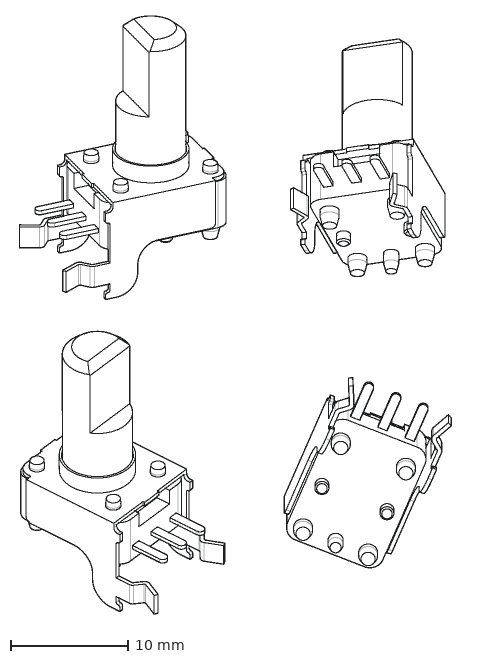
import cadquery as cq
import math


sheet = 0.38
bracket_width = 9.8
half_width = bracket_width / 2
plate_front = -5.82
plate_shoulder = 3.83
plate_back = 5.3
plate_back_width = 8.6
plate_corner_radius = 1.19
plate_tab_width = 1.97
plate_tab_length = 0.18

wall_bottom = -4.5
wall_bottom_radius = 0.47
leg_back = -3.47
leg_front = -6.1
leg_bottom = -9.18
leg_radius = 2.0
lug_front = -6.5
lug_blend_radius = (leg_front - lug_front) / 2
notch_radius = 0.43
upper_lug_top = -0.9
upper_lug_bottom = -1.88
foot_top = -8.55

clip_top = -5.75
clip_height = 2.02
clip_bend_y = -7.75
clip_elbow = (-3.99, -8.53)
clip_tip = (-4.75, -10.15)
clip_outer_radius = 0.45
clip_inner_radius = 0.13

body_width = 8.8
body_back = plate_back + plate_tab_length
body_front = -6.27
body_top = -sheet
body_bottom = -4.85
body_corner_radius = 1.2
recess_width = 4.08
recess_bottom = -1.84
recess_depth = 1.4

bushing_diameter = 6.52
bushing_bore = 6.12
bushing_height = 1.61
shaft_diameter = 6.0
shaft_top = 22.4 + leg_bottom
flat_y = -1.4
flat_bottom = 6.2
tip_chamfer_height = 0.75
tip_chamfer_inset = 0.8

peg_x = 3.0
peg_y = 4.2
peg_corners = [(sx * peg_x, sy * peg_y) for sx in (-1, 1) for sy in (-1, 1)]
terminal_pitch = 2.5
terminal_width = 0.85
terminal_top = -3.34
terminal_tip = -9.68


def block(x_size, y_min, y_max, z_min, z_max):
    """Box centred on X = 0."""
    return (
        cq.Workplane("XY")
        .box(x_size, y_max - y_min, z_max - z_min, centered=(True, False, False))
        .translate((0, y_min, z_min))
    )


def stepped_pin(diameter, end_diameter, start_z, step_z, end_z):
    """Pin on the Z axis: a cylinder up to step_z, then a taper down to end_diameter."""
    profile = [
        (0, start_z),
        (diameter / 2, start_z),
        (diameter / 2, step_z),
        (end_diameter / 2, end_z),
        (0, end_z),
    ]
    return cq.Workplane("XZ").polyline(profile).close().revolve(360, (0, 0), (0, 1))


def place(pin, positions):
    """List of copies of a pin at the given XY positions."""
    return [pin.translate((x, y, 0)) for x, y in positions]


def make_plate():
    plate = block(bracket_width, plate_front, plate_shoulder, -sheet, 0)
    back = block(plate_back_width, 0, plate_back, -sheet, 0)
    back = back.edges("|Z and >Y").fillet(plate_corner_radius)
    tabs = block(plate_tab_width, plate_front - plate_tab_length, body_back, -sheet, 0)
    return plate.union(back).union(tabs)


def make_left_wall():
    """Side wall outline in the YZ plane, with the leg, the locating lugs and the foot."""
    blend = lug_blend_radius
    mid_y = leg_front - blend
    diagonal = math.sqrt(0.5)
    leg_bend = leg_radius * (1 - diagonal)
    notch_y = plate_front - notch_radius
    notch_z = upper_lug_top + notch_radius
    outline = (
        cq.Workplane("YZ")
        .moveTo(plate_shoulder, 0)
        .lineTo(plate_shoulder, wall_bottom + wall_bottom_radius)
        .radiusArc((plate_shoulder - wall_bottom_radius, wall_bottom), wall_bottom_radius)
        .lineTo(leg_back + leg_radius, wall_bottom)
        .threePointArc(
            (leg_back + leg_bend, wall_bottom - leg_bend),
            (leg_back, wall_bottom - leg_radius),
        )
        .lineTo(leg_back, leg_bottom + leg_radius)
        .threePointArc(
            (leg_back - leg_bend, leg_bottom + leg_bend),
            (leg_back - leg_radius, leg_bottom),
        )
        .lineTo(lug_front, leg_bottom)
        .lineTo(lug_front, foot_top - blend)
        .tangentArcPoint((mid_y, foot_top), relative=False)
        .tangentArcPoint((leg_front, foot_top + blend), relative=False)
        .lineTo(leg_front, upper_lug_bottom - blend)
        .tangentArcPoint((mid_y, upper_lug_bottom), relative=False)
        .tangentArcPoint((lug_front, upper_lug_bottom + blend), relative=False)
        .lineTo(lug_front, upper_lug_top)
        .lineTo(notch_y, upper_lug_top)
        .threePointArc(
            (notch_y + notch_radius * diagonal, notch_z - notch_radius * diagonal),
            (plate_front, notch_z),
        )
        .lineTo(plate_front, 0)
        .close()
    )
    return outline.extrude(sheet).translate((-half_width, 0, 0))


def offset_path(path, distance):
    """Shift an open path sideways to the left of its direction, with mitred corners."""
    angles = [math.atan2(b[1] - a[1], b[0] - a[0]) for a, b in zip(path, path[1:])]
    shifted = []
    for (x, y), before, after in zip(path, angles[:1] + angles, angles + angles[-1:]):
        normal = (before + after) / 2 + math.pi / 2
        reach = distance / math.cos((after - before) / 2)
        shifted.append((x + reach * math.cos(normal), y + reach * math.sin(normal)))
    return shifted


def make_left_clip():
    """Snap-in clip: a strip bent inwards and then outwards again."""
    outer = [(-half_width, leg_front + sheet), (-half_width, clip_bend_y), clip_elbow, clip_tip]
    inner = offset_path(outer, sheet)
    clip = cq.Workplane("XY").polyline(outer + inner[::-1]).close().extrude(clip_height)
    bends = [
        (outer[1], clip_outer_radius),
        (inner[1], clip_inner_radius),
        (outer[2], clip_inner_radius),
        (inner[2], clip_outer_radius),
    ]
    for (x, y), radius in bends:
        corner = cq.NearestToPointSelector((x, y, clip_height / 2))
        clip = clip.edges(corner).fillet(radius)
    return clip.translate((0, 0, clip_top - clip_height))


def make_body():
    body = block(body_width, body_front, body_back, body_bottom, body_top)
    body = body.edges("|Z").fillet(body_corner_radius)
    recess = block(recess_width, body_front, body_front + recess_depth, recess_bottom, body_top)
    return body.cut(recess)


def make_bushing():
    bushing = cq.Workplane("XY").circle(bushing_diameter / 2).extrude(bushing_height)
    bore = cq.Workplane("XY").circle(bushing_bore / 2).extrude(bushing_height)
    return bushing.cut(bore)


def make_shaft():
    shaft = cq.Workplane("XY").circle(shaft_diameter / 2).extrude(shaft_top)
    flat = block(shaft_diameter, -shaft_diameter, flat_y, flat_bottom, shaft_top)
    shaft = shaft.cut(flat)
    return shaft.faces(">Z").chamfer(tip_chamfer_height, tip_chamfer_inset)


def make_terminal():
    """Flat terminal with a fully rounded tip."""
    radius = terminal_width / 2
    root_y = body_front + sheet
    return (
        cq.Workplane("XY")
        .moveTo(-radius, root_y)
        .lineTo(-radius, terminal_tip + radius)
        .threePointArc((0, terminal_tip), (radius, terminal_tip + radius))
        .lineTo(radius, root_y)
        .close()
        .extrude(sheet)
        .translate((0, 0, terminal_top - sheet))
    )


def make_pegs():
    rivet = stepped_pin(diameter=1.32, end_diameter=1.2, start_z=-sheet, step_z=0.2, end_z=0.75)
    corner_peg = stepped_pin(diameter=1.64, end_diameter=1.2, start_z=body_bottom, step_z=-5.47, end_z=-6.35)
    side_pin = stepped_pin(diameter=1.19, end_diameter=0.9, start_z=body_bottom, step_z=-5.62, end_z=-5.78)
    long_pin = stepped_pin(diameter=1.3, end_diameter=0.95, start_z=body_bottom, step_z=-5.9, end_z=-6.65)
    return (
        place(rivet, peg_corners)
        + place(corner_peg, peg_corners)
        + place(side_pin, [(-peg_x, 0), (peg_x, 0)])
        + place(long_pin, [(0, peg_y)])
    )


left_side = make_left_wall().union(make_left_clip())

result = make_plate().union(left_side).union(left_side.mirror("YZ"))
result = result.union(make_body()).union(make_bushing()).union(make_shaft())
for index in (-1, 0, 1):
    result = result.union(make_terminal().translate((index * terminal_pitch, 0, 0)))
for peg in make_pegs():
    result = result.union(peg)